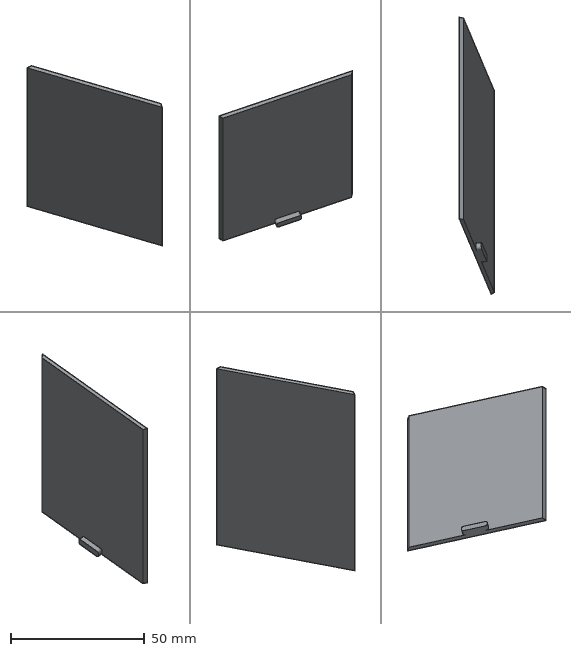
import cadquery as cq

plate_width = 53.9
plate_height = 90.0
plate_thickness = 1.5
side_inset = 1.1

tab_width = 10.0
tab_height = 3.0
tab_depth = 2.0
tab_corner_radius = 1.0


def make_plate():
    half_front = plate_width / 2
    half_back = half_front - side_inset
    return (
        cq.Workplane("XY")
        .moveTo(-half_front, 0)
        .lineTo(half_front, 0)
        .lineTo(half_back, plate_thickness)
        .lineTo(-half_back, plate_thickness)
        .close()
        .extrude(plate_height)
    )


def make_tab():
    return (
        cq.Workplane("XY")
        .box(tab_width, tab_depth, tab_height, centered=(True, False, False))
        .edges("|Y")
        .fillet(tab_corner_radius)
        .translate((0, plate_thickness, 0))
    )


result = make_plate().union(make_tab())